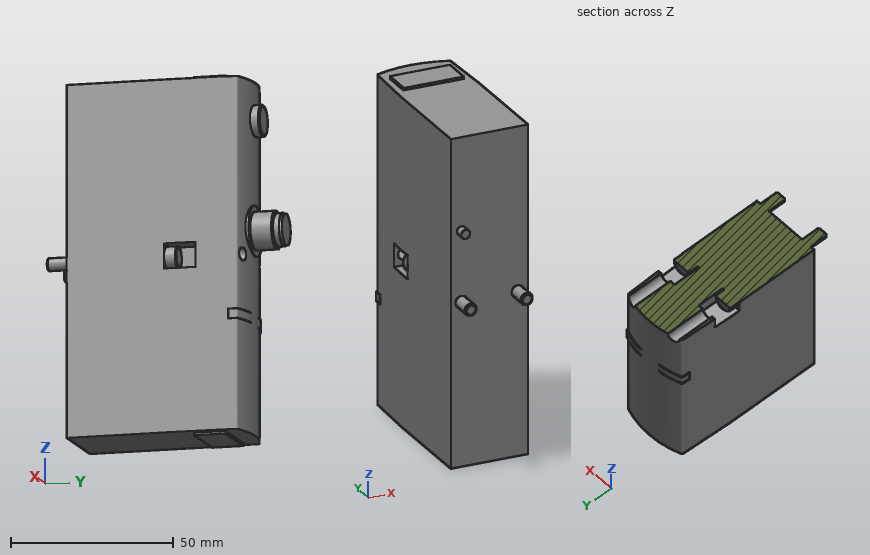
import cadquery as cq

body_width = 26.3
overall_height = 112.5
body_height = 110.9
seam_y = 35.1
cover_end_width = 25.0
cover_corner_y = 54.5
dome_peak_y = 56.7
cover_corner_radius = 0.7

label_width = 20.5
label_length = 10.0
label_y = 45.0
label_thickness = (overall_height - body_height) / 2

band_height = 3.0
band_z = -19.1
band_thickness = 0.3
band_start_y = 51.6
band_end_y = 56.5

screw_x = 9.6
screw_diameter = 4.0
screw_reach = 7.0
screw_tip_chamfer = 0.5
head_diameter = 7.0
head_length = 3.8
head_chamfer = 0.3
pocket_size = 7.9
pocket_start_y = 31.2
pocket_length = 10.0
access_hole_diameter = 4.0

pin_diameter = 3.0
pin_reach = 3.0
pin_z = 24.0

button_diameter = 10.0
button_z = 43.4
button_end_y = 59.4
button_chamfer = 0.5

connector_z = 8.9
connector_steps = [(16.0, 56.8), (12.0, 63.5), (10.0, 63.8), (10.5, 65.7), (10.0, 66.6)]

root_y = 50.6


def cylinder_y(diameter, start_y, end_y, x, z):
    """Cylinder along Y between two Y positions."""
    plane = cq.Plane(origin=(x, start_y, z), xDir=(1, 0, 0), normal=(0, 1, 0))
    return cq.Workplane(plane).circle(diameter / 2).extrude(end_y - start_y)


def centred_box(width, length, height, x, y, z):
    return cq.Workplane("XY").box(width, length, height).translate((x, y, z))


def housing_outline(height):
    """Parallel base, tapered cover and domed end, centred on Z = 0."""
    base_x = body_width / 2
    end_x = cover_end_width / 2
    return (
        cq.Workplane("XY", origin=(0, 0, -height / 2))
        .moveTo(-base_x, 0)
        .lineTo(base_x, 0)
        .lineTo(base_x, seam_y)
        .lineTo(end_x, cover_corner_y)
        .threePointArc((0, dome_peak_y), (-end_x, cover_corner_y))
        .lineTo(-base_x, seam_y)
        .close()
    )


def make_housing():
    housing = housing_outline(body_height).extrude(body_height)
    return housing.edges("|Z").edges(">Y").fillet(cover_corner_radius)


def make_band():
    """Housing outline grown outwards, cut flat just below the dome peak."""
    band = housing_outline(band_height).offset2D(band_thickness).extrude(band_height)
    band_length = band_end_y - band_start_y
    keep = centred_box(
        2 * body_width, band_length, band_height, 0, band_start_y + band_length / 2, 0
    )
    return band.intersect(keep).translate((0, 0, band_z))


def make_label(side):
    z = side * (body_height + label_thickness) / 2
    return centred_box(label_width, label_length, label_thickness, 0, label_y, z)


def make_pocket(side):
    """Side pocket for a screw head, with its access hole through the dome."""
    inner_x = screw_x - pocket_size / 2
    depth = body_width / 2 - inner_x
    pocket = centred_box(
        depth,
        pocket_length,
        pocket_size,
        side * (inner_x + depth / 2),
        pocket_start_y + pocket_length / 2,
        0,
    )
    access_hole = cylinder_y(
        access_hole_diameter, pocket_start_y + pocket_length, dome_peak_y, side * screw_x, 0
    )
    return pocket.union(access_hole)


def make_screw(side):
    x = side * screw_x
    head = cylinder_y(head_diameter, pocket_start_y, pocket_start_y + head_length, x, 0)
    head = head.faces(">Y").chamfer(head_chamfer)
    shank = cylinder_y(screw_diameter, -screw_reach, pocket_start_y, x, 0)
    shank = shank.faces("<Y").chamfer(screw_tip_chamfer)
    return head.union(shank)


def make_button():
    button = cylinder_y(button_diameter, root_y, button_end_y, 0, button_z)
    return button.faces(">Y").chamfer(button_chamfer)


def make_connector():
    connector = cq.Workplane("XY")
    start_y = root_y
    for diameter, end_y in connector_steps:
        connector = connector.union(cylinder_y(diameter, start_y, end_y, 0, connector_z))
        start_y = end_y
    return connector


result = make_housing().union(make_band())
for side in (-1, 1):
    result = result.union(make_label(side))
    result = result.cut(make_pocket(side))
    result = result.union(make_screw(side))
result = result.union(cylinder_y(pin_diameter, -pin_reach, 0, -screw_x, pin_z))
result = result.union(make_button())
result = result.union(make_connector())